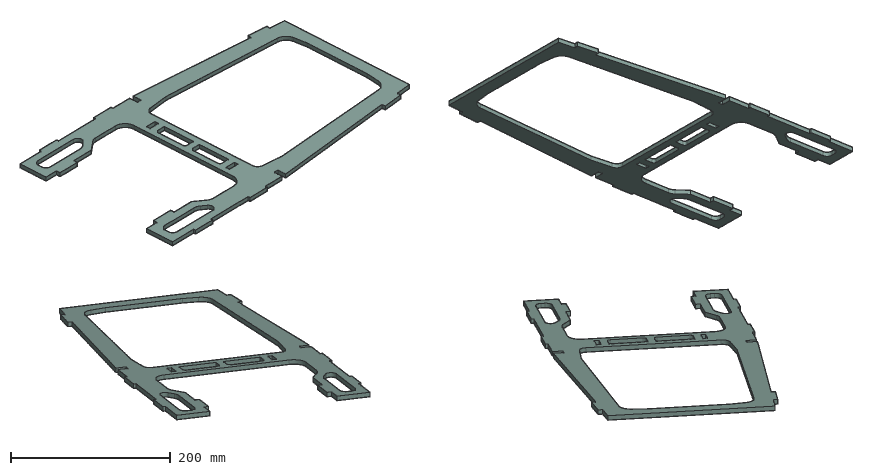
import cadquery as cq
import math

length = 462.0
thickness = 6.0
top_y = length / 2
bottom_y = -length / 2
top_half_width = 106.3
body_half_width = 130.0

slit_top_y = -22.5
slit_width = 6.5
slit_depth = 13.5

opening_top_y = -70.5
opening_half_width = 100.3
opening_fillet = 16.0
leg_inner_x = 85.5
leg_taper_top_y = -128.5
leg_taper_bottom_y = -148.0
leg_taper_fillet = 14.0

window_top_y = 213.0
window_top_flat_half = 51.7
window_corner_x = 85.0
window_corner_y = 209.0
window_widest_x = 99.0
window_widest_y = 4.5
window_bottom_x = 94.5
window_bottom_y = -36.5
window_top_fillet = 15.5
window_bottom_fillet = 9.5

bar_hole_top_y = -46.5
bar_hole_height = 15.2
vent_inner_x = 5.0
vent_width = 49.5
vent_fillet = 3.5
bar_slot_inner_x = 64.5
bar_slot_width = 6.0

leg_slot_outer_x = 118.5
leg_slot_inner_x = 97.5
leg_slot_bottom_y = -217.5
leg_slot_shoulder_y = -151.5
leg_slot_peak_fillet = 7.0
leg_slot_shoulder_fillet = 14.0
leg_slot_bottom_fillet = 8.0

tab_length = 32.0
side_tab_depth = 3.2
side_tab_centers_y = (-75.8, -176.0)
leg_tab_depth = 6.0
leg_tab_center_y = -196.0
taper_tab_depth = 5.5
taper_tab_start = 25.0


def both_sides(points):
    """Close a right-hand profile with its mirror image across X = 0."""
    return points + [(-x, y) for x, y in reversed(points)]


def prism(points):
    return cq.Workplane("XY").polyline(points).close().extrude(thickness)


def box(x_min, x_max, y_min, y_max):
    return prism([(x_min, y_min), (x_max, y_min), (x_max, y_max), (x_min, y_max)])


def round_edges(body, points, radius):
    """Fillet the upright edges that stand on the given points."""
    for x, y in points:
        corner = cq.selectors.NearestToPointSelector((x, y, thickness / 2))
        body = body.edges("|Z").edges(corner).fillet(radius)
    return body


def mirrored_pair(body):
    return body.union(body.mirror("YZ"))


def make_plate():
    return prism(both_sides([
        (top_half_width, top_y),
        (body_half_width, slit_top_y),
        (body_half_width, bottom_y),
    ]))


def make_window():
    top_corner = (window_corner_x, window_corner_y)
    bottom_corner = (window_bottom_x, window_bottom_y)
    window = prism(both_sides([
        (window_top_flat_half, window_top_y),
        top_corner,
        (window_widest_x, window_widest_y),
        bottom_corner,
    ]))
    window = round_edges(window, both_sides([top_corner]), window_top_fillet)
    return round_edges(window, both_sides([bottom_corner]), window_bottom_fillet)


def make_lower_opening():
    top_corner = (opening_half_width, opening_top_y)
    taper_corner = (opening_half_width, leg_taper_top_y)
    opening = prism(both_sides([
        top_corner,
        taper_corner,
        (leg_inner_x, leg_taper_bottom_y),
        (leg_inner_x, bottom_y),
    ]))
    opening = round_edges(opening, both_sides([top_corner]), opening_fillet)
    return round_edges(opening, both_sides([taper_corner]), leg_taper_fillet)


def make_leg_slot():
    taper_slope = (leg_taper_top_y - leg_taper_bottom_y) / (opening_half_width - leg_inner_x)
    peak_y = leg_slot_shoulder_y + taper_slope * (leg_slot_outer_x - leg_slot_inner_x)
    bottom_corners = [(leg_slot_inner_x, leg_slot_bottom_y), (leg_slot_outer_x, leg_slot_bottom_y)]
    peak = (leg_slot_outer_x, peak_y)
    shoulder = (leg_slot_inner_x, leg_slot_shoulder_y)
    slot = prism(bottom_corners + [peak, shoulder])
    slot = round_edges(slot, bottom_corners, leg_slot_bottom_fillet)
    slot = round_edges(slot, [peak], leg_slot_peak_fillet)
    return round_edges(slot, [shoulder], leg_slot_shoulder_fillet)


def make_bar_holes():
    hole_bottom_y = bar_hole_top_y - bar_hole_height
    vent = box(vent_inner_x, vent_inner_x + vent_width, hole_bottom_y, bar_hole_top_y)
    vent = vent.faces("<Y").edges("|Z").fillet(vent_fillet)
    slot = box(bar_slot_inner_x, bar_slot_inner_x + bar_slot_width, hole_bottom_y, bar_hole_top_y)
    return vent.union(slot)


def make_slit():
    return box(body_half_width - slit_depth, body_half_width, slit_top_y - slit_width, slit_top_y)


def make_straight_tabs():
    half = tab_length / 2
    tabs = box(leg_inner_x - leg_tab_depth, leg_inner_x, leg_tab_center_y - half, leg_tab_center_y + half)
    for center_y in side_tab_centers_y:
        tabs = tabs.union(box(
            body_half_width, body_half_width + side_tab_depth, center_y - half, center_y + half
        ))
    return tabs


def make_taper_tab():
    """Tab standing square on the tapered outer side near its top corner."""
    taper_angle = math.degrees(math.atan2(body_half_width - top_half_width, top_y - slit_top_y))
    tab = box(0, taper_tab_depth, -taper_tab_start - tab_length, -taper_tab_start)
    return tab.rotate((0, 0, 0), (0, 0, 1), taper_angle).translate((top_half_width, top_y, 0))


result = (
    make_plate()
    .cut(make_window())
    .cut(make_lower_opening())
    .cut(mirrored_pair(make_leg_slot()))
    .cut(mirrored_pair(make_bar_holes()))
    .cut(mirrored_pair(make_slit()))
    .union(mirrored_pair(make_straight_tabs()))
    .union(mirrored_pair(make_taper_tab()))
)